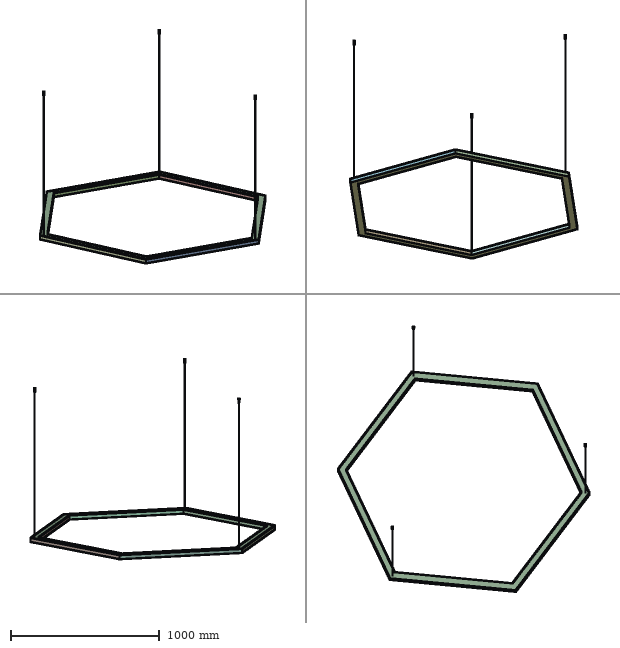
import cadquery as cq
import math

side_count = 6
ring_diameter = 1700.0
ring_height = 30.0
cover_height = 3.0
cover_width = 46.0
cover_inset = 2.0
housing_width = cover_width + 2 * cover_inset
housing_height = ring_height - cover_height
corner_stretch = 1 / math.cos(math.pi / side_count)

total_height = 1052.0
suspension_count = 3
suspension_radius = 821.0
wire_diameter = 1.2
nozzle_diameter = 4.0
nozzle_height = 5.0
gripper_diameter = 9.0
gripper_height = 20.0
cap_diameter = 11.0
cap_height = 2.0
nozzle_bottom = total_height - cap_height - gripper_height - nozzle_height


def hexagonal_band(outer_inset, width, bottom, height):
    """Hexagonal frame whose outer walls lie outer_inset inside the ring's outer walls."""
    outer_diameter = ring_diameter - 2 * outer_inset * corner_stretch
    inner_diameter = outer_diameter - 2 * width * corner_stretch
    return (
        cq.Workplane("XY", origin=(0, 0, bottom))
        .polygon(side_count, outer_diameter)
        .polygon(side_count, inner_diameter)
        .extrude(height)
    )


def suspension_wire(x, y):
    """Wire from the top of the cover to the underside of the gripper's nozzle."""
    return (
        cq.Workplane("XY", origin=(x, y, ring_height))
        .circle(wire_diameter / 2)
        .extrude(nozzle_bottom - ring_height)
    )


def ceiling_gripper(x, y):
    """Stepped round gripper: nozzle, barrel and a wider cap at the top."""
    return (
        cq.Workplane("XY", origin=(x, y, nozzle_bottom))
        .circle(nozzle_diameter / 2)
        .extrude(nozzle_height)
        .faces(">Z")
        .workplane()
        .circle(gripper_diameter / 2)
        .extrude(gripper_height)
        .faces(">Z")
        .workplane()
        .circle(cap_diameter / 2)
        .extrude(cap_height)
    )


housing = hexagonal_band(0, housing_width, 0, housing_height)
cover = hexagonal_band(cover_inset, cover_width, housing_height, cover_height)

wires = []
grippers = []
for index in range(suspension_count):
    angle = 2 * math.pi * index / suspension_count
    x = suspension_radius * math.cos(angle)
    y = suspension_radius * math.sin(angle)
    wires.append(suspension_wire(x, y).val())
    grippers.append(ceiling_gripper(x, y).val())

result = cq.Compound.makeCompound([housing.val(), cover.val(), *wires, *grippers])